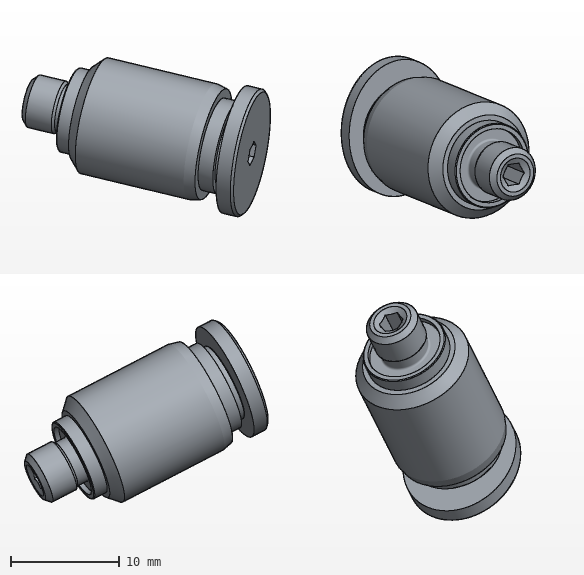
import cadquery as cq
import math

LENGTH = 21.75

TIP_RADIUS = 2.5
TIP_CHAMFER = 0.5
TIP_END = 3.02
GROOVE_RADIUS = 2.26
GROOVE_FILLET = 0.2

COLLAR_START = 4.0
COLLAR_RADIUS = 4.0
COLLAR_CHAMFER = 0.09
RECESS_RADIUS = 3.5
RECESS_DEPTH = 0.5

BARREL_START = 5.4
BARREL_RADIUS = 5.5
BARREL_CHAMFER = 1.0
BARREL_END = 17.99
TAPER_LENGTH = 1.0
TAPER_DROP = 0.25

SLEEVE_RADIUS = 4.4
SLEEVE_END = 19.42
NECK_RADIUS = 3.76
NECK_CHAMFER = 0.07

FLANGE_START = 20.12
FLANGE_HALF_HEIGHT = 6.5
FLANGE_CHAMFER = 0.25

HEX_ACROSS_FLATS = 2.0
LEAD_IN_RADIUS = 1.6
LEAD_IN_ANGLE = 60.0


def make_turned_body():
    """Revolve the stepped half-profile from the tip to the flange."""
    recess_floor = COLLAR_START + RECESS_DEPTH
    groove_start = TIP_END + TIP_RADIUS - GROOVE_RADIUS
    profile = (
        cq.Workplane("XY")
        .moveTo(0, 0)
        .lineTo(0, TIP_RADIUS - TIP_CHAMFER)
        .lineTo(TIP_CHAMFER, TIP_RADIUS)
        .lineTo(TIP_END, TIP_RADIUS)
        .lineTo(groove_start, GROOVE_RADIUS)
        .lineTo(recess_floor - GROOVE_FILLET, GROOVE_RADIUS)
        .radiusArc((recess_floor, GROOVE_RADIUS + GROOVE_FILLET), -GROOVE_FILLET)
        .lineTo(recess_floor, RECESS_RADIUS)
        .lineTo(COLLAR_START, RECESS_RADIUS)
        .lineTo(COLLAR_START, COLLAR_RADIUS - COLLAR_CHAMFER)
        .lineTo(COLLAR_START + COLLAR_CHAMFER, COLLAR_RADIUS)
        .lineTo(BARREL_START, COLLAR_RADIUS)
        .lineTo(BARREL_START, BARREL_RADIUS - BARREL_CHAMFER)
        .lineTo(BARREL_START + BARREL_CHAMFER, BARREL_RADIUS)
        .lineTo(BARREL_END - TAPER_LENGTH, BARREL_RADIUS)
        .lineTo(BARREL_END, BARREL_RADIUS - TAPER_DROP)
        .lineTo(BARREL_END, SLEEVE_RADIUS)
        .lineTo(SLEEVE_END, SLEEVE_RADIUS)
        .lineTo(SLEEVE_END, NECK_RADIUS)
        .lineTo(FLANGE_START - NECK_CHAMFER, NECK_RADIUS)
        .lineTo(FLANGE_START, NECK_RADIUS - NECK_CHAMFER)
        .lineTo(FLANGE_START, 0)
        .close()
    )
    return profile.revolve(360, (0, 0, 0), (1, 0, 0))


def make_flange():
    """Elliptical plate as wide as the barrel, chamfered on its outer end."""
    return (
        cq.Workplane("YZ", origin=(FLANGE_START, 0, 0))
        .ellipse(BARREL_RADIUS, FLANGE_HALF_HEIGHT)
        .extrude(LENGTH - FLANGE_START)
        .faces(">X")
        .chamfer(FLANGE_CHAMFER)
    )


def make_socket():
    """Hexagon through the whole length, corners on the Y axis, plus its lead-in cone."""
    hex_across_corners = HEX_ACROSS_FLATS / math.cos(math.pi / 6)
    hexagon = cq.Workplane("YZ").polygon(6, hex_across_corners).extrude(LENGTH)
    cone_depth = LEAD_IN_RADIUS / math.tan(math.radians(LEAD_IN_ANGLE))
    lead_in = (
        cq.Workplane("XY")
        .polyline([(0, 0), (0, LEAD_IN_RADIUS), (cone_depth, 0)])
        .close()
        .revolve(360, (0, 0, 0), (1, 0, 0))
    )
    return hexagon.union(lead_in)


result = make_turned_body().union(make_flange()).cut(make_socket())